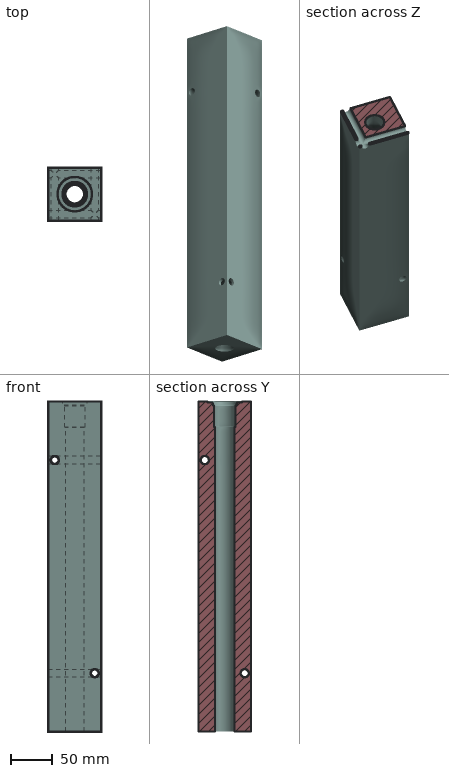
import cadquery as cq
import math

side = 63.5
length = 393.7
top_z = length / 2

spotface_diameter = 41.1
spotface_depth = 0.8
mouth_diameter = 29.2
mouth_depth = 3.3
mouth_taper_angle = 15.0
seat_cone_angle = 45.0
port_diameter = 24.7
port_depth = 29.4
drill_cone_angle = 59.0
bore_diameter = 22.2

cross_hole_diameter = 9.2
cross_hole_edge_distance = 7.94
cross_hole_end_distance = 69.85
cross_hole_offset = side / 2 - cross_hole_edge_distance
cross_hole_height = top_z - cross_hole_end_distance


def cone_height(large_radius, small_radius, angle):
    """Axial length of a cone between two radii, for a wall angle from the axis."""
    return (large_radius - small_radius) / math.tan(math.radians(angle))


def port_cutter():
    """Revolved tool: spotface, tapered mouth, seat cone, port, drill cone and through bore."""
    port_radius = port_diameter / 2
    bore_radius = bore_diameter / 2
    mouth_end_radius = mouth_diameter / 2 - mouth_depth * math.tan(math.radians(mouth_taper_angle))
    spotface_z = top_z - spotface_depth
    mouth_end_z = spotface_z - mouth_depth
    seat_end_z = mouth_end_z - cone_height(mouth_end_radius, port_radius, seat_cone_angle)
    port_end_z = spotface_z - port_depth
    bore_start_z = port_end_z - cone_height(port_radius, bore_radius, drill_cone_angle)
    profile = [
        (0, top_z),
        (spotface_diameter / 2, top_z),
        (spotface_diameter / 2, spotface_z),
        (mouth_diameter / 2, spotface_z),
        (mouth_end_radius, mouth_end_z),
        (port_radius, seat_end_z),
        (port_radius, port_end_z),
        (bore_radius, bore_start_z),
        (bore_radius, -top_z),
        (0, -top_z),
    ]
    return cq.Workplane("XZ").polyline(profile).close().revolve(360, (0, 0, 0), (0, 1, 0))


def cross_hole_cutter(plane, positions):
    """Holes through the full width of the bar, normal to the given plane."""
    return (
        cq.Workplane(plane)
        .pushPoints(positions)
        .circle(cross_hole_diameter / 2)
        .extrude(side / 2, both=True)
    )


bar = cq.Workplane("XY").box(side, side, length)

holes_along_y = cross_hole_cutter(
    "XZ",
    [(-cross_hole_offset, cross_hole_height), (cross_hole_offset, -cross_hole_height)],
)
holes_along_x = cross_hole_cutter(
    "YZ",
    [(cross_hole_offset, cross_hole_height), (-cross_hole_offset, -cross_hole_height)],
)

result = bar.cut(port_cutter()).cut(holes_along_y).cut(holes_along_x)